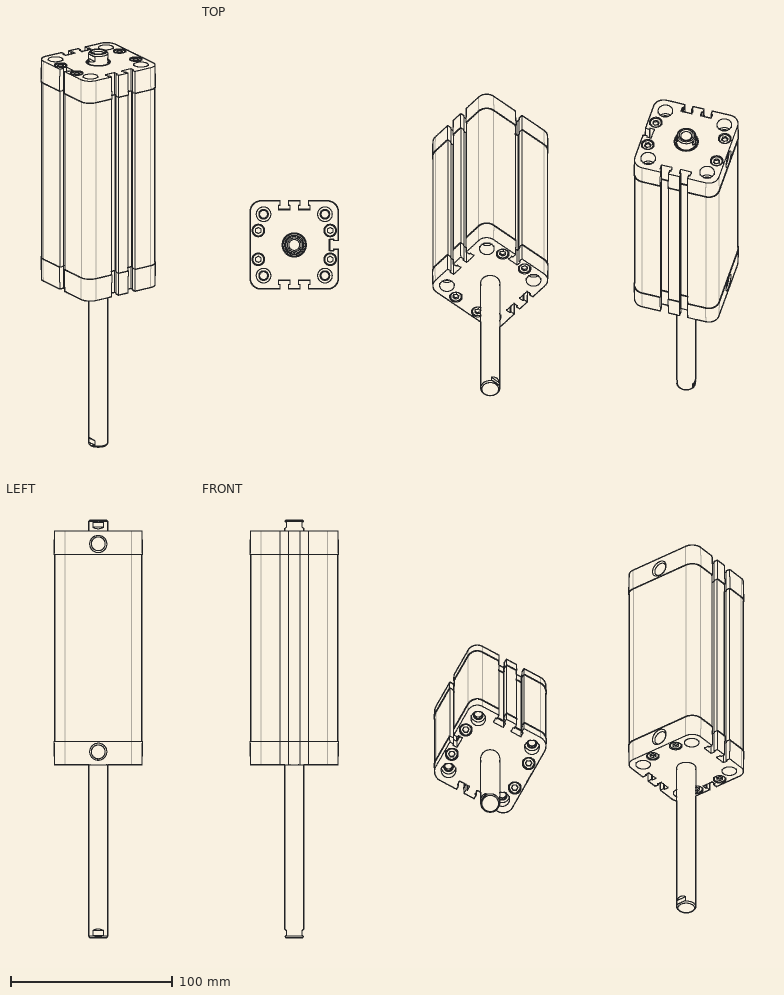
import cadquery as cq

housing_height = 145.0
cap_height = 14.5
rod_top = 151.8
rod_length = 259.0

barrel_width = 54.1
cap_seam_width = 55.0
cap_draft_angle = 1.1
corner_radius = 6.5

slot_offset = 6.2
slot_neck = 5.2
slot_width = 7.0
barrel_slot_depth = 5.0
cap_slot_depth = 5.5
slot_lip = 2.5

rod_diameter = 12.0
rod_chamfer_width = 0.8
rod_chamfer_length = 1.0
flat_spacing = 9.8
flat_length = 2.8
flat_end_distance = 1.5
rod_thread_diameter = 6.7
rod_thread_depth = 13.0
rod_thread_mouth = 8.5

seal_diameter = 15.0
seal_lip_diameter = 13.7
seal_height = 2.5

mount_spacing = 38.0
mount_counterbore = 9.0
mount_counterbore_depth = 9.0
mount_core_diameter = 5.0
mount_thread_diameter = 6.0
mount_depth = 13.0

screw_spacing_x = 44.5
screw_spacing_y = 18.0
screw_recess_diameter = 7.8
screw_recess_depth = 2.5
screw_head_diameter = 6.7
screw_head_height = 2.0
screw_socket_sides = 6
screw_socket_size = 4.0
screw_socket_depth = 1.3

port_diameter = 8.5
port_mouth_diameter = 11.0
port_distance_from_end = 8.0

chamfer_angle = 45


def corner_points(spacing_x, spacing_y):
    """Four points at the corners of a rectangle centred on the rod axis."""
    return [(sx * spacing_x / 2, sy * spacing_y / 2) for sx in (-1, 1) for sy in (-1, 1)]


screw_points = corner_points(screw_spacing_x, screw_spacing_y)
mount_points = corner_points(mount_spacing, mount_spacing)
rod_axis = [(0, 0)]


def disc(diameter, z_bottom, z_top, points=rod_axis):
    return (
        cq.Workplane("XY", origin=(0, 0, z_bottom))
        .pushPoints(points)
        .circle(diameter / 2)
        .extrude(z_top - z_bottom)
    )


def countersink(diameter, depth, z_top, points=rod_axis):
    """45 degree cone that narrows downwards from z_top."""
    mouths = cq.Workplane("XY", origin=(0, 0, z_top)).pushPoints(points).circle(diameter / 2)
    return mouths.extrude(-depth, taper=chamfer_angle)


def t_slot(depth):
    """One slot in the +Y side, centred on X = 0, over the housing height."""
    floor = barrel_width / 2 - depth
    lip = barrel_width / 2 - slot_lip
    outside = barrel_width
    pocket_half = slot_width / 2
    neck_half = slot_neck / 2
    return (
        cq.Workplane("XY")
        .moveTo(-pocket_half, floor)
        .lineTo(pocket_half, floor)
        .lineTo(pocket_half, lip)
        .lineTo(neck_half, lip)
        .lineTo(neck_half, outside)
        .lineTo(-neck_half, outside)
        .lineTo(-neck_half, lip)
        .lineTo(-pocket_half, lip)
        .close()
        .extrude(housing_height)
    )


def cut_slots(body, depth):
    """Cut two slots in each Y side and one in the +X side."""
    slot = t_slot(depth)
    for x in (-slot_offset, slot_offset):
        body = body.cut(slot.translate((x, 0, 0)))
        body = body.cut(slot.rotate((0, 0, 0), (0, 0, 1), 180).translate((x, 0, 0)))
    return body.cut(slot.rotate((0, 0, 0), (0, 0, 1), -90))


def rounded_square(width, z):
    radius = corner_radius + (width - barrel_width) / 2
    plan = cq.Sketch().rect(width, width).vertices().fillet(radius)
    return cq.Workplane("XY", origin=(0, 0, z)).placeSketch(plan)


def make_barrel():
    barrel = rounded_square(barrel_width, cap_height).extrude(housing_height - 2 * cap_height)
    barrel = cut_slots(barrel, barrel_slot_depth)
    return barrel.cut(disc(rod_diameter, 0, housing_height))


def cut_mount_holes(cap):
    top = housing_height
    floor = top - mount_counterbore_depth
    cap = cap.cut(disc(mount_counterbore, floor, top, mount_points))
    cap = cap.cut(disc(mount_core_diameter, top - mount_depth, top, mount_points))
    taper_depth = (mount_thread_diameter - mount_core_diameter) / 2
    return cap.cut(countersink(mount_thread_diameter, taper_depth, floor, mount_points))


def add_screw_heads(cap):
    floor = housing_height - screw_recess_depth
    head_top = floor + screw_head_height
    cap = cap.cut(disc(screw_recess_diameter, floor, housing_height, screw_points))
    cap = cap.union(disc(screw_head_diameter, floor, head_top, screw_points))
    socket_outline = cq.Sketch().regularPolygon(screw_socket_size / 2, screw_socket_sides)
    sockets = cq.Workplane("XY", origin=(0, 0, head_top)).pushPoints(screw_points)
    return cap.cut(sockets.placeSketch(socket_outline).extrude(-screw_socket_depth))


def cut_port(cap):
    """Port with a chamfered mouth, running in from the -X side to the rod."""
    side = cq.Workplane("YZ", origin=(-cap_seam_width / 2, 0, housing_height - port_distance_from_end))
    mouth_depth = (port_mouth_diameter - port_diameter) / 2
    cap = cap.cut(side.circle(port_mouth_diameter / 2).extrude(mouth_depth, taper=chamfer_angle))
    return cap.cut(side.circle(port_diameter / 2).extrude(cap_seam_width / 2))


def make_cap():
    """Upper cap, flaring slightly from its outer end to the seam."""
    seam = rounded_square(cap_seam_width, housing_height - cap_height)
    cap = seam.extrude(cap_height, taper=cap_draft_angle)
    cap = cut_slots(cap, cap_slot_depth)
    cap = cut_mount_holes(cap)
    cap = add_screw_heads(cap)
    cap = cut_port(cap)
    return cap.cut(disc(rod_diameter, 0, housing_height))


def make_upper_cap():
    return make_cap().cut(disc(seal_diameter, housing_height - seal_height, housing_height))


def make_lower_cap():
    return make_cap().mirror("XY").translate((0, 0, housing_height))


def cut_wrench_flats(rod, rod_end, inward):
    """Cut a flat with 45 degree ends in each X side; inward is the Z direction away from the end."""
    floor = flat_spacing / 2
    outside = rod_diameter
    rise = outside - floor
    near = flat_end_distance
    far = flat_end_distance + flat_length
    profile = [(floor, near), (floor, far), (outside, far + rise), (outside, near - rise)]
    for side in (-1, 1):
        points = [(side * x, rod_end + inward * distance) for x, distance in profile]
        flat = cq.Workplane("XZ").polyline(points).close().extrude(rod_diameter / 2, both=True)
        rod = rod.cut(flat)
    return rod


def cut_rod_thread(rod):
    mouth_depth = (rod_thread_mouth - rod_thread_diameter) / 2
    rod = rod.cut(disc(rod_thread_diameter, rod_top - rod_thread_depth, rod_top))
    return rod.cut(countersink(rod_thread_mouth, mouth_depth, rod_top))


def make_rod():
    rod_bottom = rod_top - rod_length
    end_radius = rod_diameter / 2 - rod_chamfer_width
    half_profile = [
        (0, rod_bottom),
        (end_radius, rod_bottom),
        (rod_diameter / 2, rod_bottom + rod_chamfer_length),
        (rod_diameter / 2, rod_top - rod_chamfer_length),
        (end_radius, rod_top),
        (0, rod_top),
    ]
    rod = cq.Workplane("XZ").polyline(half_profile).close().revolve(360, (0, 0, 0), (0, 1, 0))
    rod = cut_wrench_flats(rod, rod_top, -1)
    rod = cut_wrench_flats(rod, rod_bottom, 1)
    return cut_rod_thread(rod)


def make_seal():
    lip_depth = (seal_lip_diameter - rod_diameter) / 2
    seal = disc(seal_diameter, housing_height - seal_height, housing_height)
    seal = seal.cut(disc(rod_diameter, 0, housing_height))
    return seal.cut(countersink(seal_lip_diameter, lip_depth, housing_height))


barrel = make_barrel()
upper_cap = make_upper_cap()
lower_cap = make_lower_cap()
rod = make_rod()
seal = make_seal()

bodies = [barrel, upper_cap, lower_cap, rod, seal]
result = cq.Compound.makeCompound([body.solids().val() for body in bodies])